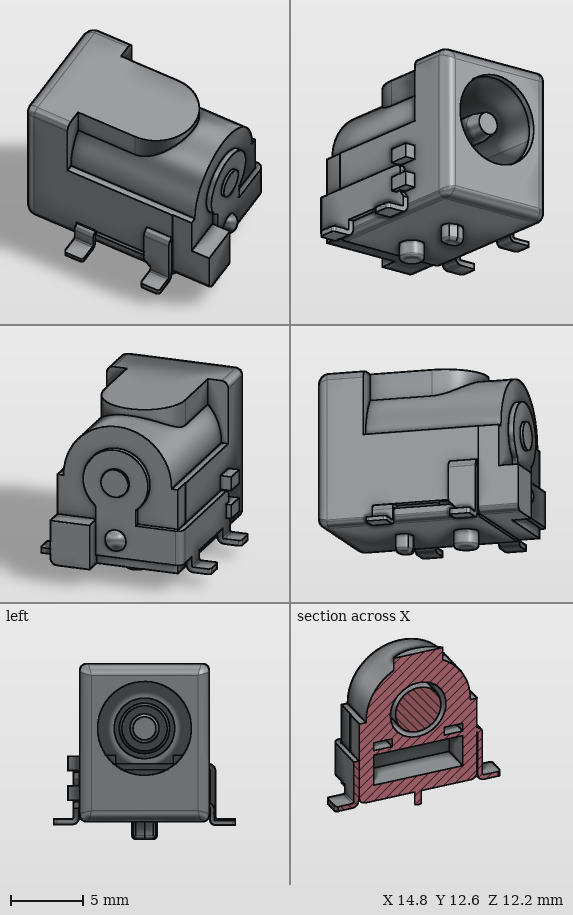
import cadquery as cq
import math


half_width = 4.5
top_z = 4.5
bottom_z = -6.48
edge_radius = 0.5
front_radius = 0.8
shoulder_x = 3.5
rear_step_x = 11.88
rear_x = 13.4
tail_half_width = 4.45
tail_bottom_z = -6.29
shelf_z = -0.1
barrel_radius = 4.0
tongue_half_width = 3.0
tongue_center_x = 8.0

rear_block_end_x = 14.8
rear_block_inner_y = -1.55
rear_block_top_z = -3.02

mouth_radius = 3.25
lip_depth = 0.5
cavity_radius = 3.43
cavity_half_width = 3.39
cavity_floor_z = -5.2
cavity_end_x = 12.58
rear_wall_x = 8.88
rear_wall_bottom_z = -2.45
tongue_wall_half_width = 2.0
corner_notch_z = -1.88
collar_bore_radius = 2.1

peg_bottom_z = -7.7
peg_fillet = 0.3
round_peg_x = 9.52
round_peg_radius = 0.87
wedge_peg_x = 5.02
wedge_peg_radius = 0.77
wedge_peg_half_length = 0.6
wedge_peg_flank_x = 0.46

lug_size = 1.0
lug_end_x = 5.05
lug_reach = 0.81
lug_top_levels = (-1.92, -4.0)

foot_span = 12.6
foot_reach = foot_span / 2
sheet_clearance = 0.03
sheet_wall_y = half_width + sheet_clearance
bend_radius = 0.1
foot_corner_radius = 0.2
leg_width = 1.5
front_leg_x = 4.25
rear_leg_x = 10.35
leg_root_y = 3.85

front_leg_thickness = 0.3
front_leg_top_z = cavity_floor_z
front_leg_bottom_z = -6.72
slot_height = 0.34
slot_margin = 0.05
slot_end_x = rear_leg_x
slot_back_y = -leg_root_y
roll_radius = 0.27
roll_start_x = 8.91

sheet_thickness = 0.4
sheet_bottom_z = -6.67
spring_top_z = rear_wall_bottom_z
spring_start_x = 9.85
spring_taper_z = -5.42

side_plate_top_z = rear_block_top_z
side_plate_bottom_z = -5.54
side_plate_start_x = 4.56
side_plate_corner_radius = 0.49
side_plate_taper_z = -5.1
disc_radius = 2.4
neck_fillet = 0.2
arm_half_width = 1.48
bump_radius = 0.8
bump_reach = 0.6
rivet_reach = 0.2
pin_radius = 1.0
pin_tip_radius = 0.8
pin_tip_x = 0.98
pin_taper_length = 1.18
collar_radius = 1.75
collar_chamfer = 0.18
collar_front_x = 9.92


def block(x0, x1, y0, y1, z0, z1):
    return cq.Workplane("XY").box(x1 - x0, y1 - y0, z1 - z0, centered=False).translate((x0, y0, z0))


def rod(x0, x1, radius, y=0, z=0):
    return cq.Workplane("YZ", origin=(x0, y, z)).circle(radius).extrude(x1 - x0)


def round_corner(strip, x, y, z, radius):
    """Fillet the one edge whose midpoint is nearest to the given place."""
    return strip.edges(cq.selectors.NearestToPointSelector((x, y, z))).fillet(radius)


def bent_strip(x0, x1, wall_y, thickness, top_z, bottom_z, root_y):
    """Strip on the +Y side that drops down the wall and turns outward into a solder foot.

    Its upper end turns inward and reaches in to root_y; with root_y = wall_y it stays straight.
    """
    outer_y = wall_y + thickness
    foot_top_z = bottom_z + thickness
    profile = [
        (outer_y, top_z),
        (outer_y, foot_top_z),
        (foot_reach, foot_top_z),
        (foot_reach, bottom_z),
        (wall_y, bottom_z),
    ]
    if root_y < wall_y:
        profile += [(wall_y, top_z - thickness), (root_y, top_z - thickness)]
    profile.append((root_y, top_z))
    strip = cq.Workplane("YZ", origin=(x0, 0, 0)).polyline(profile).close().extrude(x1 - x0)
    mid_x = (x0 + x1) / 2
    strip = round_corner(strip, mid_x, wall_y, bottom_z, bend_radius + thickness)
    strip = round_corner(strip, mid_x, outer_y, foot_top_z, bend_radius)
    if root_y < wall_y:
        strip = round_corner(strip, mid_x, outer_y, top_z, bend_radius + thickness)
    return strip


def round_foot(strip):
    return strip.faces(">Y").edges("|Z").fillet(foot_corner_radius)


def make_shell():
    body = block(0, rear_step_x, -half_width, half_width, bottom_z, top_z)
    body = body.edges("|X").fillet(edge_radius)
    body = body.faces("<X").edges().fillet(front_radius)
    side_trim = block(shoulder_x, rear_step_x, -half_width, half_width, shelf_z, top_z)
    body = body.cut(side_trim)

    tail = block(rear_step_x, rear_x, -tail_half_width, tail_half_width, tail_bottom_z, shelf_z)
    rear_block = block(
        rear_x, rear_block_end_x, -tail_half_width, rear_block_inner_y, tail_bottom_z, rear_block_top_z
    )
    tail = tail.union(rear_block).edges("|X and <Z and <Y").fillet(edge_radius)

    barrel = rod(shoulder_x, rear_x, barrel_radius)
    barrel_sides = block(shoulder_x, rear_x, -barrel_radius, barrel_radius, shelf_z, 0)
    barrel = barrel.intersect(block(shoulder_x, rear_x, -barrel_radius, barrel_radius, 0, barrel_radius))
    tongue = block(shoulder_x, tongue_center_x, -tongue_half_width, tongue_half_width, shelf_z, top_z)
    tongue_end = (
        cq.Workplane("XY", origin=(tongue_center_x, 0, shelf_z))
        .circle(tongue_half_width)
        .extrude(top_z - shelf_z)
    )
    return body.union(tail).union(barrel_sides).union(barrel).union(tongue).union(tongue_end)


def make_cavity():
    mouth = rod(0, lip_depth, mouth_radius)
    upper = rod(lip_depth, rear_wall_x, cavity_radius)
    lower = block(lip_depth, rear_wall_x, -cavity_half_width, cavity_half_width, cavity_floor_z, 0)
    pocket = block(
        rear_wall_x, cavity_end_x, -cavity_half_width, cavity_half_width, cavity_floor_z, rear_wall_bottom_z
    )
    cavity = mouth.union(upper).union(lower).union(pocket)
    for side in (-1, 1):
        y0, y1 = sorted((side * tongue_wall_half_width, side * cavity_half_width))
        cavity = cavity.union(block(rear_wall_x, cavity_end_x, y0, y1, rear_wall_bottom_z, corner_notch_z))
    return cavity.union(rod(rear_wall_x, rear_x, collar_bore_radius))


def make_round_peg():
    height = bottom_z - peg_bottom_z + edge_radius
    peg = cq.Workplane("XY", origin=(round_peg_x, 0, peg_bottom_z)).circle(round_peg_radius).extrude(height)
    return peg.faces("<Z").edges().fillet(peg_fillet)


def make_wedge_peg():
    height = bottom_z - peg_bottom_z + edge_radius
    flank_y = math.sqrt(wedge_peg_radius**2 - wedge_peg_flank_x**2)
    peg = (
        cq.Workplane("XY", origin=(wedge_peg_x, 0, peg_bottom_z))
        .moveTo(-wedge_peg_half_length, 0)
        .lineTo(-wedge_peg_flank_x, flank_y)
        .threePointArc((0, wedge_peg_radius), (wedge_peg_flank_x, flank_y))
        .lineTo(wedge_peg_half_length, 0)
        .lineTo(wedge_peg_flank_x, -flank_y)
        .threePointArc((0, -wedge_peg_radius), (-wedge_peg_flank_x, -flank_y))
        .close()
        .extrude(height)
    )
    return peg.faces("<Z").edges().fillet(peg_fillet)


def make_slot():
    return block(
        front_leg_x - slot_margin, slot_end_x, -half_width, slot_back_y,
        cavity_floor_z - slot_height, cavity_floor_z,
    )


def make_lug(lug_top):
    return block(
        shoulder_x, lug_end_x, cavity_half_width, half_width + lug_reach, lug_top - lug_size, lug_top
    )


def make_front_leg():
    leg = bent_strip(
        front_leg_x, front_leg_x + leg_width, sheet_wall_y,
        front_leg_thickness, front_leg_top_z, front_leg_bottom_z, leg_root_y,
    )
    return round_foot(leg).mirror("XZ")


def make_spring_leg():
    """Wide strip that enters the socket and narrows at 45 degrees above its foot."""
    leg = bent_strip(
        spring_start_x, rear_leg_x + leg_width, sheet_wall_y,
        sheet_thickness, spring_top_z, sheet_bottom_z, -cavity_half_width,
    )
    taper = rear_leg_x - spring_start_x
    waste = (
        cq.Workplane("XZ")
        .moveTo(spring_start_x, spring_taper_z)
        .lineTo(rear_leg_x, spring_taper_z - taper)
        .lineTo(rear_leg_x, sheet_bottom_z)
        .lineTo(spring_start_x, sheet_bottom_z)
        .close()
        .extrude(-foot_reach)
    )
    return round_foot(leg.cut(waste)).mirror("XZ")


def make_housing():
    """Moulded housing with the two -Y terminals set into it."""
    housing = make_shell().cut(make_cavity()).cut(make_slot())
    housing = housing.union(make_round_peg()).union(make_wedge_peg())
    for lug_top in lug_top_levels:
        housing = housing.union(make_lug(lug_top))
    roll = rod(roll_start_x, slot_end_x, roll_radius, slot_back_y, cavity_floor_z)
    return housing.union(roll).union(make_front_leg()).union(make_spring_leg())


def make_bump(face_x, z):
    """Spherical cap standing on the rear face of the arm."""
    tip_x = face_x + bump_reach
    center_x = tip_x - bump_radius
    rim_radius = math.sqrt(bump_radius**2 - (face_x - center_x) ** 2)
    diagonal = bump_radius * math.sqrt(0.5)
    cap = (
        cq.Workplane("XY", origin=(face_x, 0, z))
        .lineTo(0, rim_radius)
        .threePointArc((center_x + diagonal - face_x, diagonal), (bump_reach, 0))
        .close()
    )
    return cap.revolve(360, (0, 0, 0), (1, 0, 0))


def make_contact_sheet():
    """Side plate, rear arm, riveting disc and the two +Y feet, all of one sheet."""
    outer_y = sheet_wall_y + sheet_thickness
    sheet_end_x = rear_x + sheet_thickness
    outline = [
        (side_plate_start_x, side_plate_top_z),
        (sheet_end_x, side_plate_top_z),
        (sheet_end_x, side_plate_bottom_z),
        (front_leg_x, side_plate_bottom_z),
        (side_plate_start_x, side_plate_taper_z),
    ]
    side_plate = cq.Workplane("XZ", origin=(0, outer_y, 0)).polyline(outline).close().extrude(sheet_thickness)
    side_plate = round_corner(
        side_plate, side_plate_start_x, sheet_wall_y + sheet_thickness / 2, side_plate_top_z,
        side_plate_corner_radius,
    )
    for lug_top in lug_top_levels:
        side_plate = side_plate.cut(make_lug(lug_top))
    arm = block(rear_x, sheet_end_x, -arm_half_width, outer_y, side_plate_bottom_z, side_plate_top_z)
    mid_z = (side_plate_top_z + side_plate_bottom_z) / 2
    sheet = side_plate.union(arm)
    sheet = round_corner(sheet, sheet_end_x, outer_y, mid_z, bend_radius + sheet_thickness)
    sheet = round_corner(sheet, rear_x, sheet_wall_y, mid_z, sheet_wall_y - tail_half_width)

    arm_mid_x = rear_x + sheet_thickness / 2
    neck = block(rear_x, sheet_end_x, -arm_half_width, arm_half_width, mid_z, 0)
    disc = rod(rear_x, sheet_end_x, disc_radius)
    sheet = sheet.union(neck).union(disc)
    junction_z = -math.sqrt(disc_radius**2 - arm_half_width**2)
    sheet = round_corner(sheet, arm_mid_x, -arm_half_width, junction_z, neck_fillet)
    sheet = sheet.union(make_bump(sheet_end_x, mid_z))

    for leg_x in (front_leg_x, rear_leg_x):
        foot = bent_strip(
            leg_x, leg_x + leg_width, sheet_wall_y,
            sheet_thickness, side_plate_bottom_z, sheet_bottom_z, sheet_wall_y,
        )
        sheet = sheet.union(round_foot(foot))
    return sheet


def make_pin():
    """Centre pin with a tapered tip, a chamfered collar and a riveted rear end."""
    rivet_x = rear_x + sheet_thickness + rivet_reach
    outline = [
        (pin_tip_x, 0),
        (pin_tip_x, pin_tip_radius),
        (pin_tip_x + pin_taper_length, pin_radius),
        (collar_front_x, pin_radius),
        (collar_front_x, collar_radius - collar_chamfer),
        (collar_front_x + collar_chamfer, collar_radius),
        (rear_x, collar_radius),
        (rear_x, pin_radius),
        (rivet_x, pin_radius),
        (rivet_x, 0),
    ]
    return cq.Workplane("XY").polyline(outline).close().revolve(360, (0, 0, 0), (1, 0, 0))


housing = make_housing()
centre_contact = make_contact_sheet().union(make_pin())

result = cq.Compound.makeCompound([housing.solids().val(), centre_contact.solids().val()])